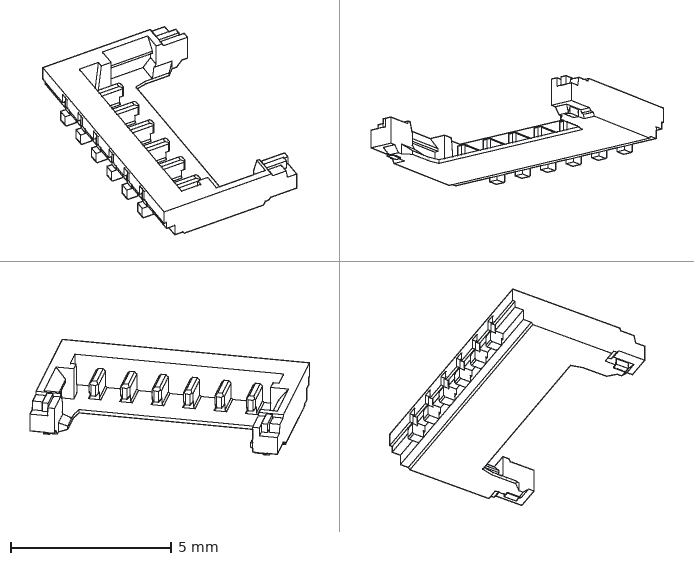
import cadquery as cq

length = 7.9
half_length = length / 2
height = 1.2
rear_y = 4.72

plate_bottom_z = 0.03
floor_z = 0.15
arm_bottom_z = 0.245
arm_end_z = 1.105
arm_step_y = 3.82
arm_step_run = 0.04

arm_slope_rear_y = 3.79
arm_ledge_rear_y = 3.72
arm_ledge_rear_z = 0.165
arm_ledge_front_y = 3.6
arm_slope_front_y = 3.54

front_step_z = 0.73
front_step_depth = 0.09
contact_clearance_z = 0.49
front_underside_z = 0.1
front_slope_start_y = 0.66
front_slope_end_y = 0.72

cavity_front_y = 0.96
cavity_half = half_length - 0.62
arm_inner_x = half_length - 0.79
tab_front_y = 1.64
tab_rear_y = 1.99
tab_inner_x = half_length - 0.805
tab_draft = 0.12

recess_rear_y = 3.6
recess_floor_x = half_length - 0.42
recess_lip_x = half_length - 0.545
recess_top_x = half_length - 0.24
undercut_top_z = 0.72
lip_top_z = 0.805
right_recess_lead_in = 0.13

floor_rear_y = 2.69
floor_rear_half = 2.82
hook_inner_x = half_length - 1.035
floor_taper_end_y = 3.09
hook_corner_y = 3.93
hook_rear_y = hook_corner_y + arm_inner_x - hook_inner_x
hook_front_y = 3.33
hook_crest_z = 0.45
hook_side_z = 0.355
hook_ramp_start_y = 4.33
hook_ramp_end_y = 4.52
hook_outer_top_x = half_length - 0.34
hook_outer_bottom_x = half_length - 0.42

shelf_z = 0.83
shelf_inner_x = half_length - 0.57
pad_width = 0.32
pad_rear_y = 4.34
pad_rear_slant = 0.055
fitting_inner_x = half_length - 0.545
fitting_outer_x = half_length - 0.35
rib_rear_y = 4.54
rib_bottom_z = 0.885
rib_top_z = 1.18
nail_front_y = 3.895
nail_rear_y = hook_ramp_start_y

contact_count = 6
contact_pitch = 1.0
contact_width = 0.3
slot_depth = 0.24
slot_top_z = 1.07
upright_front_y = 0.11
upright_rear_y = 0.38
upright_bottom_z = 0.28
upright_top_z = 1.02
foot_front_y = -0.07
foot_rear_y = 0.32
foot_height = 0.4
foot_chamfer = 0.05
pin_bottom_z = 0.34
pin_top_z = 0.79
pin_tip_y = 2.04
pin_chamfer = 0.075
pin_tip_run = 0.16
base_width = 0.4
base_rear_y = 1.865


def box(x0, x1, y0, y1, z0, z1):
    """Axis-aligned box given by its limits."""
    return cq.Workplane("XY").box(x1 - x0, y1 - y0, z1 - z0, centered=False).translate((x0, y0, z0))


def along_x(points, x0, x1):
    """Extrude a (y, z) outline from x0 to x1."""
    return cq.Workplane("YZ", origin=(x0, 0, 0)).polyline(points).close().extrude(x1 - x0)


def along_y(points, y0, y1):
    """Extrude an (x, z) outline from y0 to y1."""
    return cq.Workplane("XZ", origin=(0, y0, 0)).polyline(points).close().extrude(y0 - y1)


def both_sides(solid):
    """The +X solid together with its mirror image."""
    return solid.union(solid.mirror("YZ"))


def housing_blank():
    """Side profile of the housing, run across the full length."""
    profile = [
        (0, height),
        (arm_step_y, height),
        (arm_step_y + arm_step_run, arm_end_z),
        (rear_y, arm_end_z),
        (rear_y, arm_bottom_z),
        (arm_slope_rear_y, arm_bottom_z),
        (arm_ledge_rear_y, arm_ledge_rear_z),
        (arm_ledge_front_y, floor_z),
        (arm_slope_front_y, plate_bottom_z),
        (front_slope_end_y, plate_bottom_z),
        (front_slope_start_y, front_underside_z),
        (upright_rear_y, front_underside_z),
        (upright_rear_y, contact_clearance_z),
        (front_step_depth, contact_clearance_z),
        (front_step_depth, front_step_z),
        (0, front_step_z),
    ]
    return along_x(profile, -half_length, half_length)


def cavity():
    """Open space above the floor: wide at the front, narrowed by a tab on each side."""
    front = box(-cavity_half, cavity_half, cavity_front_y, tab_front_y, floor_z, height)
    between_tabs = box(-tab_inner_x, tab_inner_x, tab_front_y, tab_rear_y, floor_z, height)
    between_arms = box(-arm_inner_x, arm_inner_x, tab_rear_y, rear_y, floor_z, height)
    return front.union(between_tabs).union(between_arms)


def tab_draft_wedge():
    """Sloped lower front of the +X tab."""
    wedge = [
        (tab_front_y, height),
        (tab_front_y, floor_z),
        (tab_front_y - tab_draft, floor_z),
    ]
    return along_x(wedge, tab_inner_x, cavity_half)


def side_recess(lead_in):
    """Recess in the +X arm: undercut below a lip, flared above it; lead_in slopes its rear wall."""
    cross_section = [
        (arm_inner_x, floor_z),
        (recess_floor_x, floor_z),
        (recess_floor_x, undercut_top_z),
        (recess_lip_x, undercut_top_z),
        (recess_lip_x, lip_top_z),
        (recess_top_x, height),
        (arm_inner_x, height),
    ]
    recess = along_y(cross_section, tab_rear_y, recess_rear_y + lead_in)
    if lead_in == 0:
        return recess
    side_section = [
        (tab_rear_y, floor_z),
        (recess_rear_y, floor_z),
        (recess_rear_y, lip_top_z),
        (recess_rear_y + lead_in, height),
        (tab_rear_y, height),
    ]
    return recess.intersect(along_x(side_section, arm_inner_x, half_length))


def hook():
    """Block below the end of the +X arm, sloped at its front, rear, inner and outer sides."""
    side_section = [
        (hook_front_y, plate_bottom_z),
        (hook_front_y, floor_z),
        (recess_rear_y, hook_crest_z),
        (hook_rear_y, hook_crest_z),
        (hook_ramp_end_y, arm_bottom_z),
        (hook_ramp_start_y, plate_bottom_z),
    ]
    cross_section = [
        (hook_inner_x, plate_bottom_z),
        (hook_inner_x, floor_z),
        (arm_inner_x, hook_side_z),
        (arm_inner_x, hook_crest_z),
        (recess_floor_x, hook_crest_z),
        (hook_outer_top_x, arm_bottom_z),
        (hook_outer_bottom_x, plate_bottom_z),
    ]
    return along_x(side_section, hook_inner_x, half_length).intersect(
        along_y(cross_section, hook_front_y, rear_y)
    )


def rear_opening():
    """Through opening behind the floor and between the hooks."""
    right_edge = [
        (floor_rear_half, floor_rear_y),
        (hook_inner_x, floor_taper_end_y),
        (hook_inner_x, hook_corner_y),
        (arm_inner_x, hook_rear_y),
        (arm_inner_x, rear_y),
    ]
    left_edge = [(-x, y) for x, y in reversed(right_edge)]
    return cq.Workplane("XY").polyline(right_edge + left_edge).close().extrude(height)


def arm_end_shelf():
    """Space cleared above the shelf of the +X arm, leaving a pad at the outer side."""
    shelf_front_y = arm_step_y + arm_step_run
    space = box(shelf_inner_x, half_length, shelf_front_y, rear_y, shelf_z, height)
    pad_section = [
        (shelf_front_y, shelf_z),
        (shelf_front_y, arm_end_z),
        (pad_rear_y, arm_end_z),
        (pad_rear_y + pad_rear_slant, shelf_z),
    ]
    return space.cut(along_x(pad_section, half_length - pad_width, half_length))


def metal_fitting():
    """Rib over the shelf and solder nail below the +X arm."""
    rib = box(fitting_inner_x, fitting_outer_x, arm_step_y, rib_rear_y, rib_bottom_z, rib_top_z)
    nail = box(fitting_inner_x, fitting_outer_x, nail_front_y, nail_rear_y, 0, hook_side_z)
    return rib.union(nail)


def contact():
    """One contact centred on X = 0: solder foot, upright, pin and the base rib under the pin."""
    half = contact_width / 2
    foot = box(-half, half, foot_front_y, foot_rear_y, 0, foot_height)
    foot = foot.edges("<Y and <Z").chamfer(foot_chamfer)
    upright = box(-half, half, upright_front_y, upright_rear_y, upright_bottom_z, upright_top_z)

    pin = box(-half, half, upright_rear_y, pin_tip_y, pin_bottom_z, pin_top_z)
    pin = pin.edges("|Y or (>Y and |Z)").chamfer(pin_chamfer)
    tip_slope = [
        (pin_tip_y - pin_tip_run, pin_top_z),
        (pin_tip_y, pin_top_z),
        (pin_tip_y, pin_top_z - pin_chamfer),
    ]
    pin = pin.cut(along_x(tip_slope, -half, half))

    base_shoulder_z = floor_z + base_width / 2 - half
    base_top_z = pin_bottom_z + pin_chamfer
    base_section = [
        (-base_width / 2, floor_z),
        (base_width / 2, floor_z),
        (half, base_shoulder_z),
        (half, base_top_z),
        (-half, base_top_z),
        (-half, base_shoulder_z),
    ]
    base = along_y(base_section, cavity_front_y, base_rear_y)
    return foot.union(upright).union(pin).union(base)


def contact_slot():
    """Slot in the front face that takes one upright."""
    half = contact_width / 2
    return box(-half, half, 0, slot_depth, 0, slot_top_z)


housing = housing_blank().cut(cavity())
housing = housing.cut(side_recess(right_recess_lead_in))
housing = housing.cut(side_recess(0).mirror("YZ"))
housing = housing.union(both_sides(tab_draft_wedge()))
housing = housing.union(both_sides(hook()))
housing = housing.cut(rear_opening())
housing = housing.cut(both_sides(arm_end_shelf()))

result = housing.union(both_sides(metal_fitting()))
for index in range(contact_count):
    contact_x = (index - (contact_count - 1) / 2) * contact_pitch
    result = result.cut(contact_slot().translate((contact_x, 0, 0)))
    result = result.union(contact().translate((contact_x, 0, 0)))